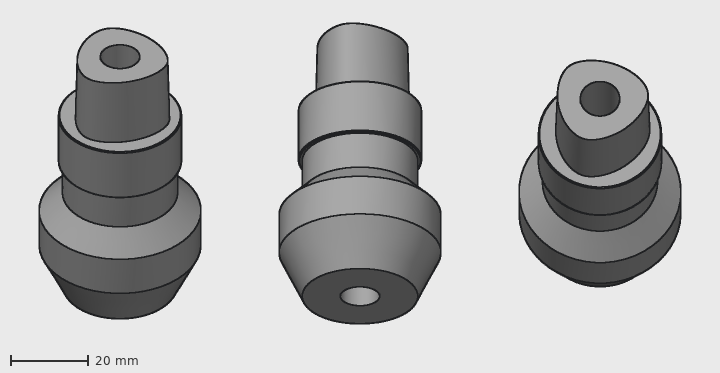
import cadquery as cq
import math

nose_top = 12.9
body_top = 24.0
shoulder_top = 30.0
flange_bottom = 40.0
flange_top = 55.0
total_height = 74.0

body_diameter = 42.0
neck_diameter = 30.0
flange_diameter = 32.0
flange_chamfer = 0.3
bore_diameter = 10.2

shank_base_width = 24.4
shank_top_width = 23.5
lobe_offset = 0.8
profile_points = 48


def turned_body():
    """Revolved nose, body, shoulder, neck and chamfered flange."""
    body_radius = body_diameter / 2
    neck_radius = neck_diameter / 2
    flange_radius = flange_diameter / 2
    chamfered_radius = flange_radius - flange_chamfer
    return (
        cq.Workplane("XZ")
        .lineTo(neck_radius, 0)
        .lineTo(body_radius, nose_top)
        .lineTo(body_radius, body_top)
        .lineTo(neck_radius, shoulder_top)
        .lineTo(neck_radius, flange_bottom)
        .lineTo(chamfered_radius, flange_bottom)
        .lineTo(flange_radius, flange_bottom + flange_chamfer)
        .lineTo(flange_radius, flange_top - flange_chamfer)
        .lineTo(chamfered_radius, flange_top)
        .lineTo(0, flange_top)
        .close()
        .revolve(360, (0, 0, 0), (0, 1, 0))
    )


def lobed_outline(width):
    """Points of a constant-width curve with one lobe toward -X."""
    points = []
    for index in range(profile_points):
        angle = 2 * math.pi * index / profile_points
        distance = width / 2 - lobe_offset * math.cos(3 * angle)
        slope = 3 * lobe_offset * math.sin(3 * angle)
        x = distance * math.cos(angle) - slope * math.sin(angle)
        y = distance * math.sin(angle) + slope * math.cos(angle)
        points.append((x, y))
    return points


def lobed_shank():
    """Shank narrowing from the flange face to the top."""
    return (
        cq.Workplane("XY")
        .workplane(offset=flange_top)
        .spline(lobed_outline(shank_base_width), periodic=True)
        .close()
        .workplane(offset=total_height - flange_top)
        .spline(lobed_outline(shank_top_width), periodic=True)
        .close()
        .loft(ruled=True)
    )


bore = cq.Workplane("XY").circle(bore_diameter / 2).extrude(total_height)
result = turned_body().union(lobed_shank()).cut(bore)